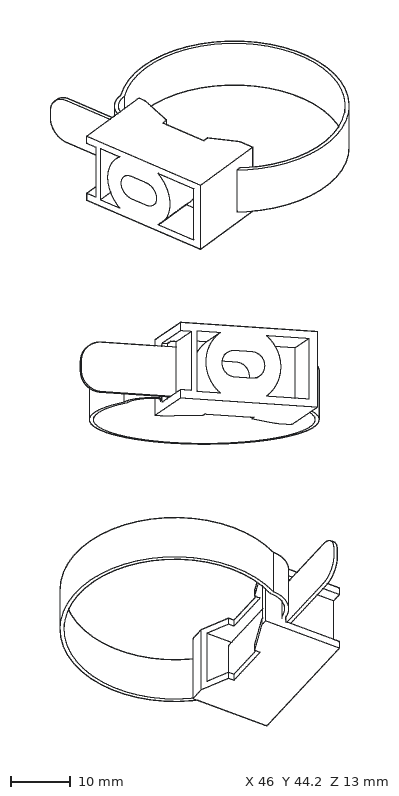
import cadquery as cq
import math

BLOCK_WIDTH = 24.1
BLOCK_DEPTH = 14.4
BLOCK_HEIGHT = 13.0
BLOCK_SIDE = BLOCK_WIDTH / 2

LEFT_LAND = 1.3
RIGHT_LAND = 2.75
NOTCH_HALF_WIDTH = 4.3
NOTCH_STEP_Y = 12.0
NOTCH_FLOOR_Y = 10.95

RECESS_HEIGHT = 10.1
FRONT_BOX_DEPTH = 8.6
SIDE_RECESS = 1.95
LEFT_WALL = 0.95
RIGHT_WALL = 1.5
BOX_FLOOR = 0.95
POCKET_HEIGHT = 10.4
REAR_LEFT_WALL = 1.0
REAR_RIGHT_WALL = 3.75
STRAP_OPENING_END = 10.45

BOSS_X = -1.0
BOSS_DIAMETER = 13.2
SLOT_LENGTH = 7.55
SLOT_HEIGHT = 4.55

OVERALL_LENGTH = 45.95
OVERALL_DEPTH = 44.25
STRAP_WIDTH = 8.5
STRAP_THICKNESS = 0.7
RING_RADIUS = 19.3
RING_Y = OVERALL_DEPTH - RING_RADIUS
TAIL_Y = 9.0
TAIL_TIP_X = RING_RADIUS - OVERALL_LENGTH
TAIL_TIP_RADIUS = 3.5
BEND_START_X = 13.3
HOOK_RADIUS = 5.4
HOOK_END_Y = 10.55
ROOT_FILLET = 0.5


def box(x_min, x_max, y_min, y_max, height):
    """Box between X and Y limits, centred on Z = 0."""
    size = (x_max - x_min, y_max - y_min, height)
    centre = ((x_min + x_max) / 2, (y_min + y_max) / 2, 0)
    return cq.Workplane("XY").box(*size).translate(centre)


def polar(centre, radius, angle):
    """Point on a circle, with the angle in radians."""
    return (centre[0] + radius * math.cos(angle), centre[1] + radius * math.sin(angle))


def make_block_body():
    outline = [
        (-BLOCK_SIDE, 0),
        (BLOCK_SIDE, 0),
        (BLOCK_SIDE, BLOCK_DEPTH),
        (BLOCK_SIDE - RIGHT_LAND, BLOCK_DEPTH),
        (NOTCH_HALF_WIDTH, NOTCH_STEP_Y),
        (NOTCH_HALF_WIDTH, NOTCH_FLOOR_Y),
        (-NOTCH_HALF_WIDTH, NOTCH_FLOOR_Y),
        (-NOTCH_HALF_WIDTH, NOTCH_STEP_Y),
        (-BLOCK_SIDE + LEFT_LAND, BLOCK_DEPTH),
        (-BLOCK_SIDE, BLOCK_DEPTH),
    ]
    body = cq.Workplane("XY").polyline(outline).close().extrude(BLOCK_HEIGHT / 2, both=True)

    recess_x = -BLOCK_SIDE + SIDE_RECESS
    cavity_x = -BLOCK_SIDE + REAR_LEFT_WALL
    rear_right_x = BLOCK_SIDE - REAR_RIGHT_WALL
    recess = box(-BLOCK_SIDE, recess_x, 0, FRONT_BOX_DEPTH, RECESS_HEIGHT)
    cavity = box(cavity_x, rear_right_x, FRONT_BOX_DEPTH, BLOCK_DEPTH, POCKET_HEIGHT)
    opening = box(-BLOCK_SIDE, cavity_x, FRONT_BOX_DEPTH, STRAP_OPENING_END, RECESS_HEIGHT)
    return body.cut(recess).cut(cavity).cut(opening)


def make_front_pocket():
    """Pocket on both sides of the round screw boss."""
    pocket_depth = FRONT_BOX_DEPTH - BOX_FLOOR
    left_x = -BLOCK_SIDE + SIDE_RECESS + LEFT_WALL
    pocket = box(left_x, BLOCK_SIDE - RIGHT_WALL, 0, pocket_depth, POCKET_HEIGHT)
    boss = cq.Workplane("XZ").center(BOSS_X, 0).circle(BOSS_DIAMETER / 2).extrude(-pocket_depth)
    return pocket.cut(boss)


def make_screw_slot():
    slot = cq.Workplane("XZ").center(BOSS_X, 0).slot2D(SLOT_LENGTH, SLOT_HEIGHT)
    return slot.extrude(-FRONT_BOX_DEPTH)


def strap_outline():
    """Flat tail, tighter bend, ring and hook, as one closed outline of even thickness."""
    ring = (0, RING_Y)
    ring_inner = RING_RADIUS - STRAP_THICKNESS
    ring_middle = RING_RADIUS - STRAP_THICKNESS / 2

    bend_angle = -math.acos(BEND_START_X / RING_RADIUS)
    bend_start_y = polar(ring, RING_RADIUS, bend_angle)[1]
    bend_radius = (bend_start_y - TAIL_Y) / (1 + math.sin(bend_angle))
    bend_inner = bend_radius - STRAP_THICKNESS
    bend = polar(ring, RING_RADIUS - bend_radius, bend_angle)
    bend_middle = (bend_angle - math.pi / 2) / 2

    hook_inner = HOOK_RADIUS - STRAP_THICKNESS
    hook_y = HOOK_END_Y + HOOK_RADIUS
    hook_start_x = -math.sqrt(ring_middle**2 - (RING_Y - hook_y) ** 2)
    hook = (hook_start_x + HOOK_RADIUS - STRAP_THICKNESS / 2, hook_y)
    hook_middle = math.radians(225)

    def kink_point(ring_radius, hook_radius):
        """Left-hand crossing of a ring circle and a hook circle."""
        distance = math.hypot(hook[0] - ring[0], hook[1] - ring[1])
        direction = math.atan2(hook[1] - ring[1], hook[0] - ring[0])
        cosine = (ring_radius**2 + distance**2 - hook_radius**2) / (2 * ring_radius * distance)
        return polar(ring, ring_radius, direction - math.acos(cosine))

    ring_top = math.pi / 2
    return (
        cq.Workplane("XY")
        .moveTo(TAIL_TIP_X, TAIL_Y)
        .lineTo(bend[0], TAIL_Y)
        .threePointArc(polar(bend, bend_radius, bend_middle), polar(bend, bend_radius, bend_angle))
        .threePointArc(polar(ring, RING_RADIUS, ring_top), kink_point(RING_RADIUS, HOOK_RADIUS))
        .threePointArc(polar(hook, HOOK_RADIUS, hook_middle), (hook[0], HOOK_END_Y))
        .lineTo(hook[0], HOOK_END_Y + STRAP_THICKNESS)
        .threePointArc(polar(hook, hook_inner, hook_middle), kink_point(ring_inner, hook_inner))
        .threePointArc(polar(ring, ring_inner, ring_top), polar(ring, ring_inner, bend_angle))
        .threePointArc(polar(bend, bend_inner, bend_middle), (bend[0], TAIL_Y + STRAP_THICKNESS))
        .lineTo(TAIL_TIP_X, TAIL_Y + STRAP_THICKNESS)
        .close()
    )


def make_strap():
    strap = strap_outline().extrude(STRAP_WIDTH / 2, both=True)
    return strap.edges("|Y").edges("<X").fillet(TAIL_TIP_RADIUS)


def make_root_flare():
    """Short length of hook that widens with concave corners where it runs into the block."""
    edge_z = STRAP_WIDTH / 2
    start_x = -BLOCK_SIDE - ROOT_FILLET
    end_x = -BLOCK_SIDE + REAR_LEFT_WALL / 2
    wide_z = edge_z + ROOT_FILLET
    corner_middle = polar((start_x, wide_z), ROOT_FILLET, -math.pi / 4)
    flare = (
        cq.Workplane("XZ")
        .moveTo(start_x, -edge_z)
        .lineTo(start_x, edge_z)
        .threePointArc(corner_middle, (-BLOCK_SIDE, wide_z))
        .lineTo(end_x, wide_z)
        .lineTo(end_x, -wide_z)
        .lineTo(-BLOCK_SIDE, -wide_z)
        .threePointArc((corner_middle[0], -corner_middle[1]), (start_x, -edge_z))
        .close()
        .extrude(-RING_Y)
    )
    below_hook = box(start_x, end_x, 0, STRAP_OPENING_END, BLOCK_HEIGHT)
    return strap_outline().extrude(wide_z, both=True).intersect(flare.cut(below_hook))


block = make_block_body().cut(make_front_pocket()).cut(make_screw_slot())
result = block.union(make_strap()).union(make_root_flare())